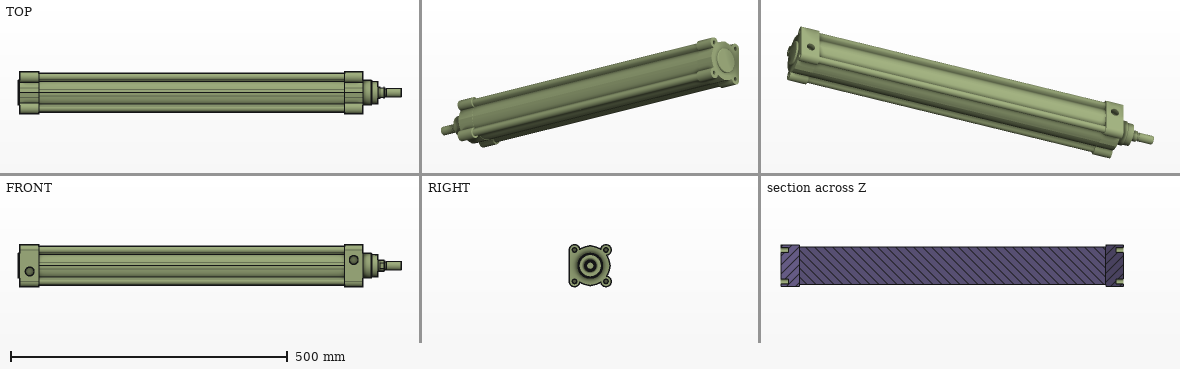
import cadquery as cq
import math

total_length = 694

rear_pilot_length = 3.5
rear_cap_length = 35.0
front_cap_start = 590.5
tube_start = rear_pilot_length + rear_cap_length
tube_length = front_cap_start - tube_start
front_cap_length = 33.0
front_cap_end = front_cap_start + front_cap_length

cap_half_size = 38.0
cap_lobe_radius = 10.0
corner_offset = cap_half_size - cap_lobe_radius
cap_body_radius = 71.0 / 2
cap_ridge_half_width = 8.0

tube_radius = 70.0 / 2
tube_ridge_half_width = 5.5
tube_rib_radius = 6.0

screw_hole_radius = 3.75
screw_hole_chamfer = 0.4
screw_hole_depth = 14.0

port_radius = 15.0 / 2
port_chamfer = 0.5
port_depth = 12.5
port_offset = 10.5
rear_port_x = 21.5
front_port_x = front_cap_start + front_cap_length / 2

pilot_radius = 45.0 / 2
rear_pilot_chamfer = 1.05
front_pilot_end = 638.5
front_pilot_bevel = 1.5
gland_base_radius = 21.0
gland_tip_radius = 20.0
gland_end = 651.0

collar_radius = 10.5
collar_length = 1.5
rod_radius = 20.0 / 2
rod_end = 663.5
rod_chamfer = 1.75
flats_start = 655.0
flats_width = 17.5
neck_radius = 7.0
neck_length = 3.0
thread_radius = 16.0 / 2
thread_chamfer = 1.5

corners = [
    (y, z)
    for y in (-corner_offset, corner_offset)
    for z in (-corner_offset, corner_offset)
]


def section_plane(x):
    """Workplane across the axis at x: its local axes are Y and Z."""
    return cq.Workplane("YZ", origin=(x, 0, 0))


def revolve_about_axis(profile):
    """Turned solid from (x, radius) points whose first and last lie on the axis."""
    return cq.Workplane("XY").polyline(profile).close().revolve(360, (0, 0, 0), (1, 0, 0))


def ridged_round(start, length, radius, ridge_half_width):
    """Cylinder with a low ridge on each of its four sides, formed by two tangent flats."""
    tilt = math.asin(ridge_half_width / radius)
    tangent_height = radius * math.cos(tilt)
    ridge_height = radius / math.cos(tilt)
    body = section_plane(start).circle(radius).extrude(length)
    ridge = (
        section_plane(start)
        .polyline(
            [
                (0, 0),
                (ridge_half_width, tangent_height),
                (0, ridge_height),
                (-ridge_half_width, tangent_height),
            ]
        )
        .close()
        .extrude(length)
    )
    for quarter_turn in range(4):
        body = body.union(ridge.rotate((0, 0, 0), (1, 0, 0), 90 * quarter_turn))
    return body


def chamfered_hole(radius, depth, chamfer, mouth, direction):
    """Cutter for a blind hole with a 45 degree chamfer around its mouth."""
    plane = cq.Plane(origin=mouth, normal=direction)
    bore = cq.Workplane(plane).circle(radius).extrude(depth)
    cone = cq.Workplane(plane).circle(radius + chamfer).extrude(chamfer, taper=45)
    return bore.union(cone)


def make_cap(start, length, outer_face_x, inward, port_x, port_z):
    """Cap section with screw holes in its outer face and a port in its flat -Y face."""
    cap = ridged_round(start, length, cap_body_radius, cap_ridge_half_width)
    lobes = section_plane(start).pushPoints(corners).circle(cap_lobe_radius).extrude(length)
    port_block = (
        section_plane(start)
        .center(-cap_half_size / 2, 0)
        .rect(cap_half_size, 2 * corner_offset)
        .extrude(length)
    )
    cap = cap.union(lobes).union(port_block)
    for y, z in corners:
        mouth = (outer_face_x, y, z)
        cap = cap.cut(
            chamfered_hole(screw_hole_radius, screw_hole_depth, screw_hole_chamfer, mouth, (inward, 0, 0))
        )
    port_mouth = (port_x, -cap_half_size, port_z)
    return cap.cut(chamfered_hole(port_radius, port_depth, port_chamfer, port_mouth, (0, 1, 0)))


def make_rear_cap():
    """Rear cap with a short chamfered pilot on its outer face."""
    cap = make_cap(rear_pilot_length, rear_cap_length, rear_pilot_length, 1, rear_port_x, -port_offset)
    pilot = section_plane(0).circle(pilot_radius).extrude(rear_pilot_length)
    return cap.union(pilot.faces("<X").chamfer(rear_pilot_chamfer))


def make_front_cap():
    """Front cap with its pilot and tapered gland."""
    cap = make_cap(front_cap_start, front_cap_length, front_cap_end, -1, front_port_x, port_offset)
    gland = revolve_about_axis(
        [
            (front_cap_end, 0),
            (front_cap_end, pilot_radius),
            (front_pilot_end, pilot_radius),
            (front_pilot_end + front_pilot_bevel, gland_base_radius),
            (gland_end, gland_tip_radius),
            (gland_end, 0),
        ]
    )
    return cap.union(gland)


def make_tube():
    """Tube profile with round-edged ribs reaching out along both diagonals."""
    tube = ridged_round(tube_start, tube_length, tube_radius, tube_ridge_half_width)
    rib_span = 2 * (corner_offset * math.sqrt(2) + tube_rib_radius)
    for angle in (45, -45):
        ribs = section_plane(tube_start).slot2D(rib_span, 2 * tube_rib_radius, angle).extrude(tube_length)
        tube = tube.union(ribs)
    return tube


def make_rod():
    """Exposed end of the piston rod, with wrench flats on -Y and +Y and a plain thread."""
    neck_end = rod_end + neck_length
    rod = revolve_about_axis(
        [
            (gland_end, 0),
            (gland_end, collar_radius),
            (gland_end + collar_length, collar_radius),
            (flats_start, rod_radius),
            (rod_end - rod_chamfer, rod_radius),
            (rod_end, rod_radius - rod_chamfer),
            (rod_end, neck_radius),
            (neck_end, neck_radius),
            (neck_end, thread_radius),
            (total_length - thread_chamfer, thread_radius),
            (total_length, thread_radius - thread_chamfer),
            (total_length, 0),
        ]
    )
    flats_length = rod_end - rod_chamfer - flats_start
    for side in (-1, 1):
        cutter_y = side * (flats_width / 2 + rod_radius / 2)
        cutter = cq.Workplane("XY").box(flats_length, rod_radius, 2 * rod_radius)
        rod = rod.cut(cutter.translate((flats_start + flats_length / 2, cutter_y, 0)))
    return rod


rear_cap = make_rear_cap()
tube = make_tube()
front_cap = make_front_cap()
rod = make_rod()

bodies = [rear_cap, tube, front_cap, rod]
result = cq.Compound.makeCompound([body.solids().val() for body in bodies])